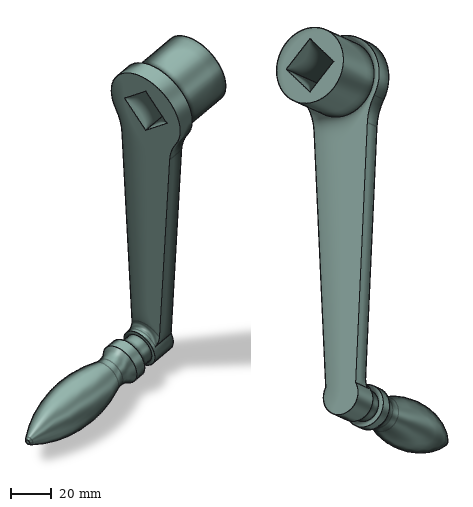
import cadquery as cq
import math

head_radius = 22.0
arm_length = 160.0
arm_thickness = 9.1
arm_upper_half_width = 15.2
arm_upper_drop = 24.9
arm_lower_half_width = 8.5
arm_lower_drop = 154.8
shoulder_radius = 30.0

hub_radius = 19.0
hub_length = 29.0
square_side = 19.0

boss_radius = 10.0
boss_length = 14.0
boss_fillet = 3.0

neck_radius = 8.0
collar_radius = 10.7
collar_start = 22.5
collar_end = 28.5
waist_position = 36.0
belly_start = 40.0
belly_start_radius = 8.8
belly_position = 61.8
belly_radius = 12.5
tip_start = 97.5
tip_start_radius = 2.3
tip_radius = 1.4
handle_end = 98.5


def arm_outline():
    """Closed arm profile, with concave shoulders tangent to the head and the sides."""
    taper = (arm_upper_half_width - arm_lower_half_width) / (arm_lower_drop - arm_upper_drop)
    axis_half_width = arm_upper_half_width + taper * arm_upper_drop
    taper_angle = math.atan(taper)
    normal_x = math.cos(taper_angle)
    normal_z = -math.sin(taper_angle)

    center_offset = axis_half_width * normal_x + shoulder_radius
    center_distance = head_radius + shoulder_radius
    center_angle = -taper_angle - math.acos(center_offset / center_distance)
    center_x = center_distance * math.cos(center_angle)
    center_z = center_distance * math.sin(center_angle)

    head_x = head_radius * math.cos(center_angle)
    head_z = head_radius * math.sin(center_angle)
    side_x = center_x - shoulder_radius * normal_x
    side_z = center_z - shoulder_radius * normal_z
    middle_angle = (center_angle - taper_angle) / 2
    middle_x = center_x - shoulder_radius * math.cos(middle_angle)
    middle_z = center_z - shoulder_radius * math.sin(middle_angle)

    end_half_width = axis_half_width - taper * arm_length
    return (
        cq.Workplane("XZ")
        .moveTo(head_x, head_z)
        .threePointArc((0, head_radius), (-head_x, head_z))
        .threePointArc((-middle_x, middle_z), (-side_x, side_z))
        .lineTo(-end_half_width, -arm_length)
        .lineTo(end_half_width, -arm_length)
        .lineTo(side_x, side_z)
        .threePointArc((middle_x, middle_z), (head_x, head_z))
        .close()
    )


def revolve_about_handle(profile):
    """Revolve a (radius, y) profile, then move its axis to the end of the arm."""
    return profile.revolve(360, (0, 0, 0), (0, 1, 0)).translate((0, 0, -arm_length))


def boss_fillet_ring():
    """Concave fillet between the arm's front face and the boss, kept within the arm's width."""
    diagonal = boss_fillet * (1 - math.sqrt(0.5))
    profile = (
        cq.Workplane("XY")
        .moveTo(0, -arm_thickness)
        .lineTo(boss_radius + boss_fillet, -arm_thickness)
        .threePointArc(
            (boss_radius + diagonal, -arm_thickness - diagonal),
            (boss_radius, -arm_thickness - boss_fillet),
        )
        .lineTo(0, -arm_thickness - boss_fillet)
        .close()
    )
    return revolve_about_handle(profile).intersect(arm_outline().extrude(boss_length))


def handle():
    """Turned grip with neck, collar, waist and rounded belly."""
    flare_length = waist_position - collar_end
    flare_rise = collar_radius - neck_radius
    flare_radius = (flare_length**2 + flare_rise**2) / (2 * flare_rise)
    half_sweep = math.asin(flare_length / flare_radius) / 2
    flare_middle = waist_position - flare_radius * math.sin(half_sweep)
    flare_middle_radius = neck_radius + flare_radius * (1 - math.cos(half_sweep))

    profile = (
        cq.Workplane("XY")
        .lineTo(boss_radius, 0)
        .lineTo(boss_radius, -boss_length)
        .lineTo(neck_radius, -boss_length)
        .lineTo(neck_radius, -collar_start)
        .lineTo(collar_radius, -collar_start)
        .lineTo(collar_radius, -collar_end)
        .threePointArc((flare_middle_radius, -flare_middle), (neck_radius, -waist_position))
        .tangentArcPoint((belly_start_radius, -belly_start), relative=False)
        .threePointArc((belly_radius, -belly_position), (tip_start_radius, -tip_start))
        .lineTo(tip_radius, -handle_end)
        .lineTo(0, -handle_end)
        .close()
    )
    return revolve_about_handle(profile)


def square_socket():
    """Square through hole standing on its corner."""
    return (
        cq.Workplane("XZ", origin=(0, hub_length, 0))
        .transformed(rotate=(0, 0, 45))
        .rect(square_side, square_side)
        .extrude(hub_length + arm_thickness)
    )


arm = arm_outline().extrude(arm_thickness)
hub = cq.Workplane("XZ").circle(hub_radius).extrude(-hub_length)
result = arm.union(hub).union(handle()).union(boss_fillet_ring()).cut(square_socket())